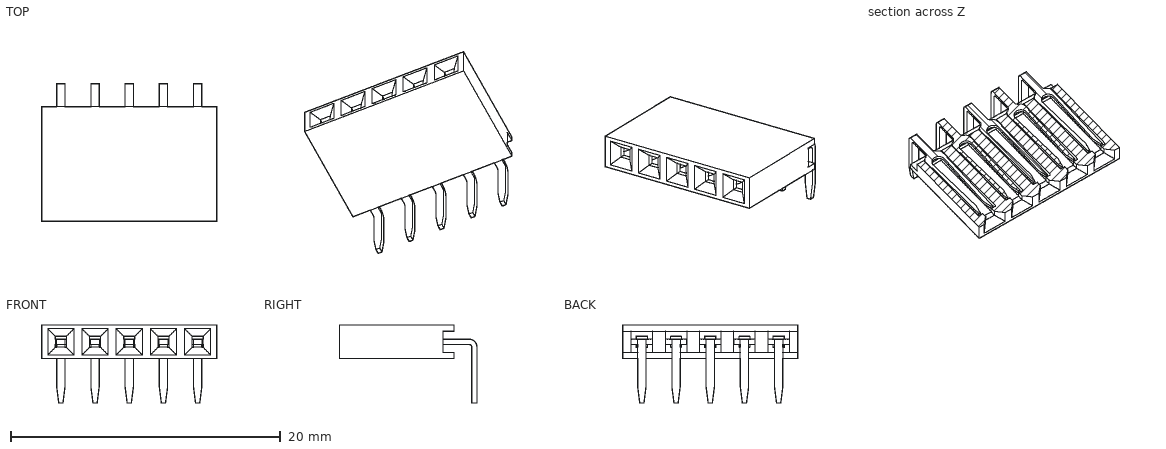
import cadquery as cq
import math

contact_count = 5
pitch = 2.54

housing_width = 13.0
housing_depth = 8.5
housing_height = 2.5

recess_depth = 0.8
recess_height = 1.56
recess_floor_y = housing_depth - recess_depth

mouth_size = 1.94
throat_size = 0.8
funnel_depth = (mouth_size - throat_size) / 2
throat_length = 0.4
chamber_width = 1.59
chamber_height = 2.24
chamber_front_y = funnel_depth + throat_length

strip_thickness = 0.4
tail_width = 0.64
overall_depth = 10.2
overall_height = 5.8
bend_outer_radius = 0.6
bend_inner_radius = bend_outer_radius - strip_thickness
tip_width = 0.32
tip_taper_length = 1.22
tail_bottom_z = housing_height / 2 - overall_height

shoulder_start_y = 8.19
shoulder_radius = 0.35
shoulder_turn = math.radians(70)
slot_radius = 0.5
slot_end_y = 7.41
prong_tip_y = 1.1
pinch_y = 1.82
pinch_gap = 0.65
prong_tip_gap = 0.99
prong_tip_width = 1.3


def box(width, front_y, back_y, height):
    """Block centred on X and Z between two Y positions."""
    block = cq.Workplane("XY").box(width, back_y - front_y, height)
    return block.translate((0, (front_y + back_y) / 2, 0))


def make_opening():
    """Funnel, square throat and contact chamber for one contact."""
    funnel = (
        cq.Workplane("XZ")
        .rect(mouth_size, mouth_size)
        .workplane(offset=-funnel_depth)
        .rect(throat_size, throat_size)
        .loft(ruled=True)
    )
    throat = box(throat_size, funnel_depth, chamber_front_y, throat_size)
    chamber = box(chamber_width, chamber_front_y, recess_floor_y, chamber_height)
    return funnel.union(throat).union(chamber)


def make_housing(contact_positions):
    body = box(housing_width, 0, housing_depth, housing_height)
    body = body.cut(box(housing_width, recess_floor_y, housing_depth, recess_height))
    for x in contact_positions:
        body = body.cut(make_opening().translate((x, 0, 0)))
    return body


def make_fork():
    """Flat fork with a rounded slot; its shoulders are S-curves that narrow to the tail width."""
    half_tail = tail_width / 2
    rise = shoulder_radius * (1 - math.cos(shoulder_turn))
    run = shoulder_radius * math.sin(shoulder_turn)
    half_turn = shoulder_turn / 2
    mid_rise = shoulder_radius * (1 - math.cos(half_turn))
    mid_run = shoulder_radius * math.sin(half_turn)
    half_fork = half_tail + 2 * rise
    fork_start_y = shoulder_start_y - 2 * run
    slot_centre_y = slot_end_y - slot_radius
    slot_diagonal = slot_radius * math.sqrt(0.5)

    right_half = (
        cq.Workplane("XY")
        .moveTo(0, shoulder_start_y)
        .lineTo(half_tail, shoulder_start_y)
        .threePointArc(
            (half_tail + mid_rise, shoulder_start_y - mid_run),
            (half_tail + rise, shoulder_start_y - run),
        )
        .threePointArc(
            (half_fork - mid_rise, fork_start_y + mid_run),
            (half_fork, fork_start_y),
        )
        .lineTo(prong_tip_width / 2, prong_tip_y)
        .lineTo(prong_tip_gap / 2, prong_tip_y)
        .lineTo(pinch_gap / 2, pinch_y)
        .lineTo(slot_radius, slot_centre_y)
        .threePointArc((slot_diagonal, slot_centre_y + slot_diagonal), (0, slot_end_y))
        .close()
        .extrude(strip_thickness / 2, both=True)
    )
    return right_half.union(right_half.mirror("YZ"))


def make_tail():
    """Strip running back from the fork, bent down, with a tapered tip."""
    half_thickness = strip_thickness / 2
    leg_front_y = overall_depth - strip_thickness
    bent_strip = (
        cq.Workplane("YZ")
        .moveTo(shoulder_start_y, half_thickness)
        .lineTo(overall_depth, half_thickness)
        .lineTo(overall_depth, tail_bottom_z)
        .lineTo(leg_front_y, tail_bottom_z)
        .lineTo(leg_front_y, -half_thickness)
        .lineTo(shoulder_start_y, -half_thickness)
        .close()
        .extrude(tail_width / 2, both=True)
    )
    outer_corner = cq.selectors.NearestToPointSelector((0, overall_depth, half_thickness))
    bent_strip = bent_strip.edges(outer_corner).fillet(bend_outer_radius)
    inner_corner = cq.selectors.NearestToPointSelector((0, leg_front_y, -half_thickness))
    bent_strip = bent_strip.edges(inner_corner).fillet(bend_inner_radius)

    taper_start_z = tail_bottom_z + tip_taper_length
    outline = (
        cq.Workplane("XZ")
        .polyline([
            (-tail_width / 2, half_thickness),
            (tail_width / 2, half_thickness),
            (tail_width / 2, taper_start_z),
            (tip_width / 2, tail_bottom_z),
            (-tip_width / 2, tail_bottom_z),
            (-tail_width / 2, taper_start_z),
        ])
        .close()
        .extrude(-overall_depth)
    )
    return bent_strip.intersect(outline)


def make_contact():
    return make_fork().union(make_tail())


contact_positions = [(i - (contact_count - 1) / 2) * pitch for i in range(contact_count)]

housing = make_housing(contact_positions)
contact = make_contact()
contacts = [contact.translate((x, 0, 0)) for x in contact_positions]

result = cq.Compound.makeCompound([housing.val(), *[c.val() for c in contacts]])